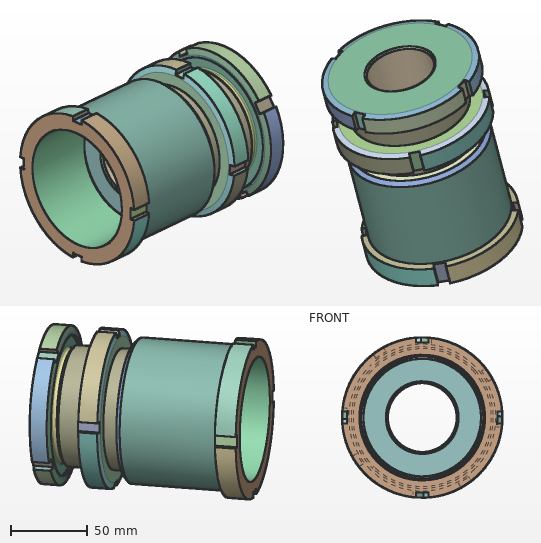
import cadquery as cq

TOTAL_LENGTH = 139.8
RIM_DIAMETER = 105.0
THREAD_DIAMETER = 80.0
RIM_CHAMFER_LENGTH = 1.1
RIM_CHAMFER_DEPTH = 4.3
SLOT_FLOOR_RADIUS = 49.1
SLOT_COUNT = 4
SLOT_OVERCUT = 1.4

FLANGE_THICKNESS = 15.1
FLANGE_SLOT_WIDTH = 8.0
HOUSING_LENGTH = 82.1
SLEEVE_DIAMETER = 96.2
SLEEVE_CHAMFER = 3.0
BORE_DIAMETER = 82.2
BORE_DEPTH = 60.1

NUT_START = 92.2
NUT_THICKNESS = 15.0
NUT_SLOT_WIDTH = 7.0
NUT_TURN = 3.0

SCREW_START = 45.6
HEAD_THICKNESS = 14.0
HEAD_CHAMFER_LENGTH = 1.4
SCREW_TURN = 56.6
SCREW_SLOT_WIDTH = 8.0
RECESS_DIAMETER = 92.9
RECESS_DEPTH = 2.0
RECESS_FILLET = 1.0
THREAD_CHAMFER = 1.5
RELIEF_DIAMETER = 76.1
RELIEF_LENGTH = 1.8
RELIEF_TAPER = 0.5
RUNOUT_LENGTH = 1.1
HOLE_DIAMETER = 45.0
HOLE_CHAMFER = 1.3

RIM_RADIUS = RIM_DIAMETER / 2
RIM_FACE_RADIUS = RIM_RADIUS - RIM_CHAMFER_DEPTH
THREAD_RADIUS = THREAD_DIAMETER / 2


def revolve_profile(points):
    """Turn an outline of (radius, Y) points about the Y axis."""
    return revolve_outline(cq.Workplane("XY").polyline(points))


def revolve_outline(outline):
    """Close an outline drawn in the XY plane and turn it about the Y axis."""
    return outline.close().revolve(360, (0, 0, 0), (0, 1, 0))


def rim_slots(start, length, width, turn):
    """Spanner slots along Y, evenly spaced around the rim, as one cutting tool."""
    radial_size = RIM_RADIUS - SLOT_FLOOR_RADIUS + SLOT_OVERCUT
    slots = cq.Workplane("XY")
    for index in range(SLOT_COUNT):
        slot = (
            cq.Workplane("XY")
            .box(width, length, radial_size, centered=(True, False, False))
            .translate((0, start, SLOT_FLOOR_RADIUS))
            .rotate((0, 0, 0), (0, 1, 0), turn + index * 360 / SLOT_COUNT)
        )
        slots = slots.add(slot)
    return slots.combine()


def make_housing():
    sleeve_radius = SLEEVE_DIAMETER / 2
    bore_radius = BORE_DIAMETER / 2
    body = revolve_profile([
        (bore_radius, 0),
        (RIM_RADIUS, 0),
        (RIM_RADIUS, FLANGE_THICKNESS - RIM_CHAMFER_LENGTH),
        (RIM_FACE_RADIUS, FLANGE_THICKNESS),
        (sleeve_radius, FLANGE_THICKNESS),
        (sleeve_radius, HOUSING_LENGTH - SLEEVE_CHAMFER),
        (sleeve_radius - SLEEVE_CHAMFER, HOUSING_LENGTH),
        (THREAD_RADIUS, HOUSING_LENGTH),
        (THREAD_RADIUS, BORE_DEPTH),
        (bore_radius, BORE_DEPTH),
    ])
    return body.cut(rim_slots(0, FLANGE_THICKNESS, FLANGE_SLOT_WIDTH, 0))


def make_lock_nut():
    nut_end = NUT_START + NUT_THICKNESS
    body = revolve_profile([
        (THREAD_RADIUS, NUT_START),
        (RIM_FACE_RADIUS, NUT_START),
        (RIM_RADIUS, NUT_START + RIM_CHAMFER_LENGTH),
        (RIM_RADIUS, nut_end - RIM_CHAMFER_LENGTH),
        (RIM_FACE_RADIUS, nut_end),
        (THREAD_RADIUS, nut_end),
    ])
    return body.cut(rim_slots(NUT_START, NUT_THICKNESS, NUT_SLOT_WIDTH, NUT_TURN))


def make_screw():
    head_start = TOTAL_LENGTH - HEAD_THICKNESS
    recess_floor = head_start + RECESS_DEPTH
    relief_start = head_start - RELIEF_LENGTH
    runout_end = relief_start - RELIEF_TAPER
    root_radius = THREAD_RADIUS - THREAD_CHAMFER
    relief_radius = RELIEF_DIAMETER / 2
    recess_radius = RECESS_DIAMETER / 2
    hole_radius = HOLE_DIAMETER / 2
    shank_points = [
        (hole_radius, SCREW_START + HOLE_CHAMFER),
        (hole_radius + HOLE_CHAMFER, SCREW_START),
        (root_radius, SCREW_START),
        (THREAD_RADIUS, SCREW_START + THREAD_CHAMFER),
        (THREAD_RADIUS, runout_end - RUNOUT_LENGTH),
        (root_radius, runout_end),
        (relief_radius, relief_start),
        (relief_radius, recess_floor - RECESS_FILLET),
    ]
    fillet_end = (relief_radius + RECESS_FILLET, recess_floor)
    head_points = [
        (recess_radius, recess_floor),
        (recess_radius, head_start),
        (RIM_FACE_RADIUS, head_start),
        (RIM_RADIUS, head_start + HEAD_CHAMFER_LENGTH),
        (RIM_RADIUS, TOTAL_LENGTH - RIM_CHAMFER_LENGTH),
        (RIM_FACE_RADIUS, TOTAL_LENGTH),
        (hole_radius + HOLE_CHAMFER, TOTAL_LENGTH),
        (hole_radius, TOTAL_LENGTH - HOLE_CHAMFER),
    ]
    outline = (
        cq.Workplane("XY")
        .polyline(shank_points)
        .radiusArc(fillet_end, RECESS_FILLET)
        .polyline(head_points, includeCurrent=True)
    )
    body = revolve_outline(outline)
    slotted = body.cut(rim_slots(head_start, HEAD_THICKNESS, SCREW_SLOT_WIDTH, 0))
    return slotted.rotate((0, 0, 0), (0, 1, 0), SCREW_TURN)


housing = make_housing()
lock_nut = make_lock_nut()
screw = make_screw()

result = cq.Compound.makeCompound([housing.val(), lock_nut.val(), screw.val()])